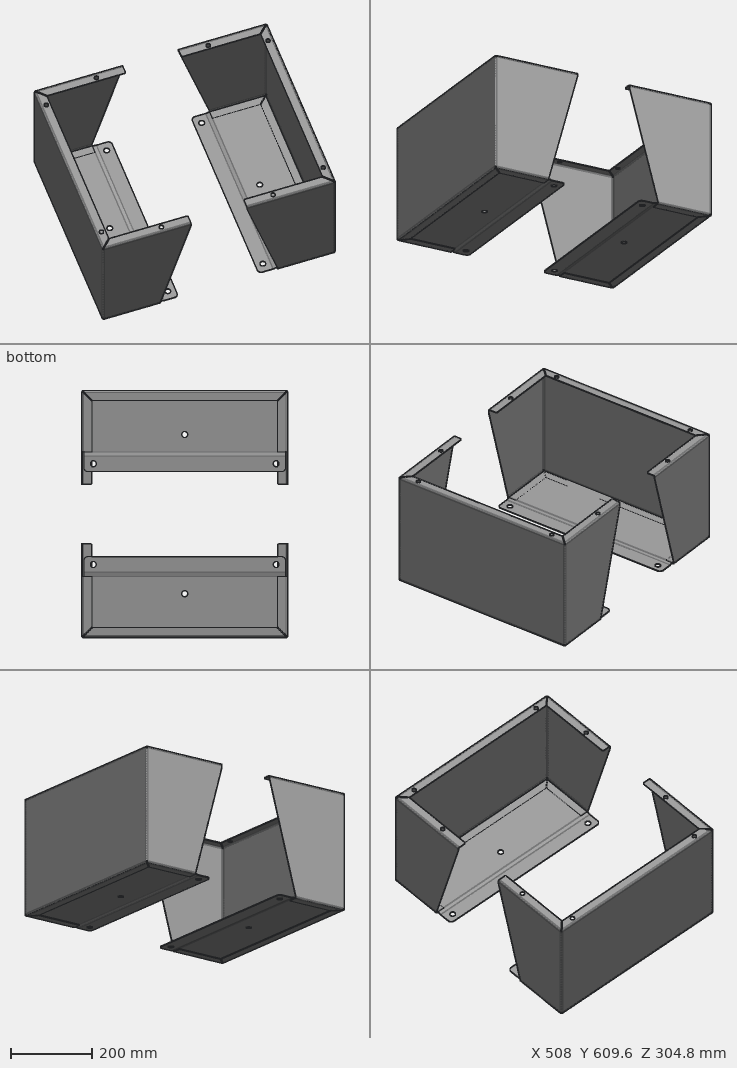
import cadquery as cq
import math

width = 508.0
height = 304.8
overall_depth = 609.6

sheet = 2.66
bend_radius = 4.8
bend_inner_radius = bend_radius - sheet
flange = 25.4
miter_gap = 2.5

top_depth = 231.8
bottom_depth = 151.5
flange_end_height = 9.5
flange_tip_radius = 4.0

flange_hole_diameter = 11.11
flange_hole_inset = 15.0
back_hole_from_side = 50.8
side_hole_depth = 158.8

plate_hole_diameter = 14.29
plate_side_inset = 5.3
plate_depth = 200.0
step_start = bottom_depth
step_end = 162.0
tab_corner_radius = 10.0
tab_hole_from_side = 28.6
tab_hole_depth = 180.6
center_hole_depth = 108.7

half_width = width / 2
back = overall_depth / 2
overshoot = 10.0


def rounded_block(inset, radius):
    """Block set in from the box faces, open-ended past the front, with rounded bends."""
    length = top_depth + overshoot
    return (
        cq.Workplane("XY")
        .box(width - 2 * inset, length, height - 2 * inset, centered=(True, False, True))
        .translate((0, inset, 0))
        .edges("<Y or |Y")
        .fillet(radius)
    )


def side_profile():
    """Side-wall outline extruded across the width: full at the top, sloping back to the bottom."""
    top = height / 2
    return (
        cq.Workplane("YZ")
        .polyline([
            (0, -top),
            (bottom_depth, -top),
            (bottom_depth, -top + bend_radius),
            (top_depth, top - flange_end_height),
            (top_depth, top),
            (0, top),
        ])
        .close()
        .extrude(half_width, both=True)
    )


def flange_opening():
    """Opening left between the flanges, through both top and bottom."""
    length = top_depth + overshoot
    return (
        cq.Workplane("XY")
        .box(width - 2 * flange, length, height, centered=(True, False, True))
        .translate((0, flange, 0))
    )


def miter_slots():
    """Diagonal gaps where the back flange meets the side flanges, top and bottom."""
    slots = []
    reach = 2 * math.sqrt(2) * flange
    for side in (-1, 1):
        for end in (-1, 1):
            slot = (
                cq.Workplane("XY")
                .box(reach, miter_gap, bend_radius)
                .rotate((0, 0, 0), (0, 0, 1), -45 * side)
                .translate((side * half_width, 0, end * (height - bend_radius) / 2))
            )
            slots.append(slot)
    return slots


def flange_holes():
    """Hole cutters for the top flanges."""
    points = []
    for side in (-1, 1):
        points.append((side * (half_width - back_hole_from_side), flange_hole_inset))
        points.append((side * (half_width - flange_hole_inset), side_hole_depth))
    return (
        cq.Workplane("XY", origin=(0, 0, height / 2 - bend_radius))
        .pushPoints(points)
        .circle(flange_hole_diameter / 2)
        .extrude(bend_radius)
    )


def make_shell():
    """Three-sided shell with inward flanges, back wall at Y = 0 and open toward +Y."""
    shell = rounded_block(0, bend_radius).cut(rounded_block(sheet, bend_inner_radius))
    shell = shell.intersect(side_profile()).cut(flange_opening())
    for slot in miter_slots():
        shell = shell.cut(slot)
    tips = cq.selectors.BoxSelector(
        (-half_width + bend_radius, bottom_depth + overshoot, height / 2 - bend_radius),
        (half_width - bend_radius, top_depth + overshoot, height / 2),
    )
    shell = shell.edges("|Z").edges(tips).fillet(flange_tip_radius)
    return shell.cut(flange_holes())


def make_floor_plate():
    """Floor plate resting on the bottom flanges, stepped down to a mounting tab in front."""
    low = -height / 2
    high = low + sheet
    plate_width = width - 2 * plate_side_inset
    plate = (
        cq.Workplane("YZ")
        .polyline([
            (bend_radius, high),
            (step_start, high),
            (step_end, low),
            (plate_depth, low),
            (plate_depth, low + sheet),
            (step_end, low + sheet),
            (step_start, high + sheet),
            (bend_radius, high + sheet),
        ])
        .close()
        .extrude(plate_width / 2, both=True)
        .edges("|Z and >Y")
        .fillet(tab_corner_radius)
    )
    tab_hole_x = half_width - tab_hole_from_side
    holes = (
        cq.Workplane("XY", origin=(0, 0, low))
        .pushPoints([
            (0, center_hole_depth),
            (-tab_hole_x, tab_hole_depth),
            (tab_hole_x, tab_hole_depth),
        ])
        .circle(plate_hole_diameter / 2)
        .extrude(2 * sheet)
    )
    return plate.cut(holes)


shell = make_shell().translate((0, -back, 0))
floor_plate = make_floor_plate().translate((0, -back, 0))

bodies = []
for turn in (0, 180):
    for body in (shell, floor_plate):
        bodies.append(body.rotate((0, 0, 0), (0, 0, 1), turn).val())

result = cq.Compound.makeCompound(bodies)